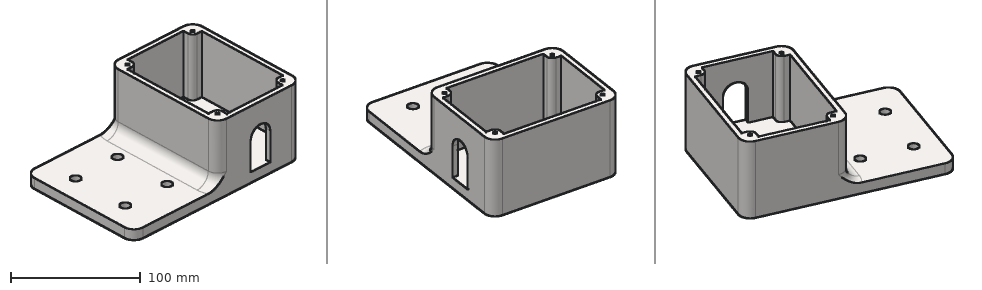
import cadquery as cq

length = 180.0
width = length * 2 / 3
height = 70.0
plate_thickness = length / 18
box_length = length / 2
corner_radius = plate_thickness
wall = plate_thickness / 2
floor_height = plate_thickness

blend_radius = 12.0

post_radius = wall
screw_diameter = 3.0
screw_depth = height - floor_height

mount_diameter = 9.0
mount_spacing_x = 55.0
mount_spacing_y = 45.0
mount_front_offset = 22.5

opening_width = 21.0
opening_offset = 1.5
opening_spring_height = 38.5

box_front = length / 2 - box_length
box_center_y = box_front + box_length / 2
post_x = width / 2 - corner_radius
post_y = box_length / 2 - corner_radius


def rounded_block(block_length, center_y, block_height):
    """Upright block on Z = 0 with rounded vertical corners."""
    block = cq.Workplane("XY").center(0, center_y)
    block = block.rect(width, block_length).extrude(block_height)
    return block.edges("|Z").fillet(corner_radius)


def blend_section(plane, wall_position):
    """Concave triangle filling the corner between the plate and a wall facing -Y."""
    arc_offset = blend_radius * (1 - 0.5**0.5)
    top = plate_thickness + blend_radius
    toe = wall_position - blend_radius
    return (
        plane.moveTo(wall_position, plate_thickness)
        .lineTo(wall_position, top)
        .threePointArc(
            (wall_position - arc_offset, plate_thickness + arc_offset),
            (toe, plate_thickness),
        )
        .close()
    )


def front_blend():
    """Straight blend swept around both front box corners, before side trimming."""
    blend = blend_section(cq.Workplane("YZ"), box_front).extrude(post_x, both=True)
    for x in (-post_x, post_x):
        plane = cq.Workplane("YZ", origin=(x, box_front + corner_radius, 0))
        ring = blend_section(plane, -corner_radius).revolve(360, (0, 0, 0), (0, 1, 0))
        blend = blend.union(ring)
    trim_length = corner_radius + blend_radius
    trim = cq.Workplane("XY").box(width, trim_length, height, centered=(True, False, False))
    return blend.intersect(trim.translate((0, box_front - blend_radius, 0)))


def cavity():
    """Box interior, with a round-nosed screw post left standing in each corner."""
    depth = height - floor_height
    floor = cq.Workplane("XY", origin=(0, box_center_y, floor_height))
    space = floor.rect(width - 2 * wall, box_length - 2 * wall).extrude(depth)
    for x_sign in (-1, 1):
        for y_sign in (-1, 1):
            post = (
                floor.center(x_sign * post_x, y_sign * post_y)
                .rect(2 * post_radius, 2 * post_radius)
                .extrude(depth)
            )
            inner_side = ("<" if x_sign > 0 else ">") + "X"
            inner_end = ("<" if y_sign > 0 else ">") + "Y"
            post = post.faces(inner_side).edges(inner_end).fillet(post_radius)
            space = space.cut(post)
    return space


def screw_holes():
    return (
        cq.Workplane("XY", origin=(0, box_center_y, height))
        .rect(2 * post_x, 2 * post_y, forConstruction=True)
        .vertices()
        .circle(screw_diameter / 2)
        .extrude(-screw_depth)
    )


def mounting_holes():
    center_y = -length / 2 + mount_front_offset + mount_spacing_y / 2
    return (
        cq.Workplane("XY", origin=(0, center_y, 0))
        .rect(mount_spacing_x, mount_spacing_y, forConstruction=True)
        .vertices()
        .circle(mount_diameter / 2)
        .extrude(plate_thickness)
    )


def cable_opening():
    half_width = opening_width / 2
    return (
        cq.Workplane("YZ", origin=(width / 2 - wall, box_center_y + opening_offset, 0))
        .moveTo(-half_width, floor_height)
        .lineTo(half_width, floor_height)
        .lineTo(half_width, opening_spring_height)
        .threePointArc(
            (0, opening_spring_height + half_width),
            (-half_width, opening_spring_height),
        )
        .close()
        .extrude(wall)
    )


plate = rounded_block(length, 0, plate_thickness)
box = rounded_block(box_length, box_center_y, height)
body = plate.union(box).union(front_blend())
result = body.cut(cavity()).cut(screw_holes()).cut(mounting_holes()).cut(cable_opening())